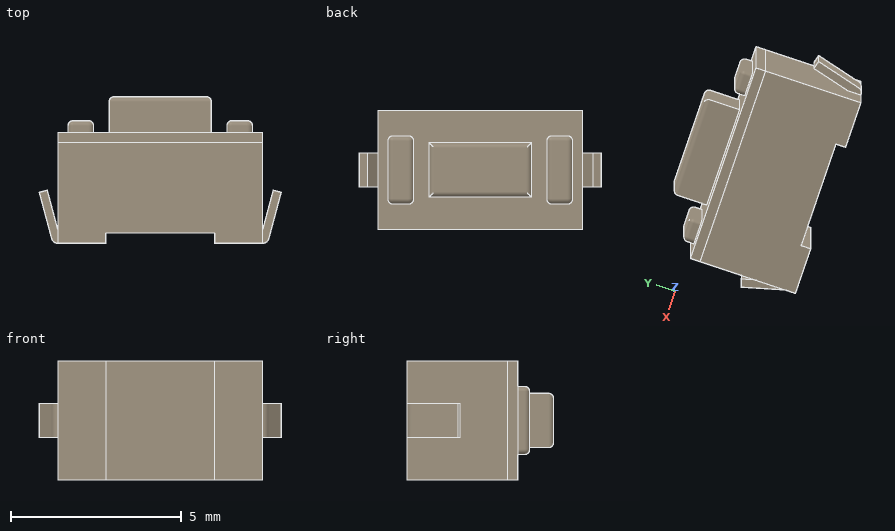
import cadquery as cq
import math


overall_length = 7.1
overall_depth = 4.3
height = 3.5

case_length = 6.0
case_depth = 3.25
cover_thickness = 0.3
housing_depth = case_depth - cover_thickness
channel_width = 3.19
channel_depth = 0.3

edge_radius = 0.15
button_length = 3.0
button_height = 1.6
button_rise = overall_depth - case_depth
post_length = 0.75
post_height = 2.0
post_rise = 0.35
post_offset = 2.33

terminal_width = 1.0
terminal_thickness = 0.25
terminal_reach = 1.56
terminal_tilt = math.radians(15.0)


def block(length, depth, block_height, start_y):
    """A box centred in X and Z, reaching from start_y towards +Y."""
    return cq.Workplane("XY").box(length, depth, block_height, centered=(True, False, True)).translate(
        (0, start_y, 0)
    )


def make_housing():
    body = block(case_length, housing_depth, height, 0)
    channel = block(channel_width, channel_depth, height, 0)
    return body.cut(channel)


def make_button():
    button = block(button_length, button_rise, button_height, case_depth)
    return button.faces(">Y").edges().fillet(edge_radius)


def make_post(center_x):
    post = block(post_length, post_rise, post_height, case_depth)
    return post.edges("|Y or >Y").fillet(edge_radius).translate((center_x, 0, 0))


def make_cover():
    cover = block(case_length, cover_thickness, height, housing_depth).union(make_button())
    for side in (-1, 1):
        cover = cover.union(make_post(side * post_offset))
    return cover


def make_terminal(side):
    """A bent tab against the end wall; side is -1 or +1 along X."""
    wall_x = case_length / 2
    tip_outer_x = overall_length / 2
    tip_outer_y = terminal_reach - terminal_thickness * math.sin(terminal_tilt)
    tip_inner_x = tip_outer_x - terminal_thickness * math.cos(terminal_tilt)
    wall_contact_y = terminal_reach - (tip_inner_x - wall_x) / math.tan(terminal_tilt)

    bend_angle = math.pi / 2 - terminal_tilt
    leg_foot_x = tip_outer_x - tip_outer_y * math.tan(terminal_tilt)
    bend_radius = (leg_foot_x - wall_x) / math.tan(bend_angle / 2)

    def bend_point(angle):
        return (
            side * (wall_x + bend_radius * math.sin(angle)),
            bend_radius * (1 - math.cos(angle)),
        )

    return (
        cq.Workplane("XY")
        .moveTo(side * wall_x, 0)
        .threePointArc(bend_point(bend_angle / 2), bend_point(bend_angle))
        .lineTo(side * tip_outer_x, tip_outer_y)
        .lineTo(side * tip_inner_x, terminal_reach)
        .lineTo(side * wall_x, wall_contact_y)
        .close()
        .extrude(terminal_width / 2, both=True)
    )


housing = make_housing()
cover = make_cover()
terminals = [make_terminal(side).val() for side in (-1, 1)]

result = cq.Compound.makeCompound([housing.val(), cover.val(), *terminals])